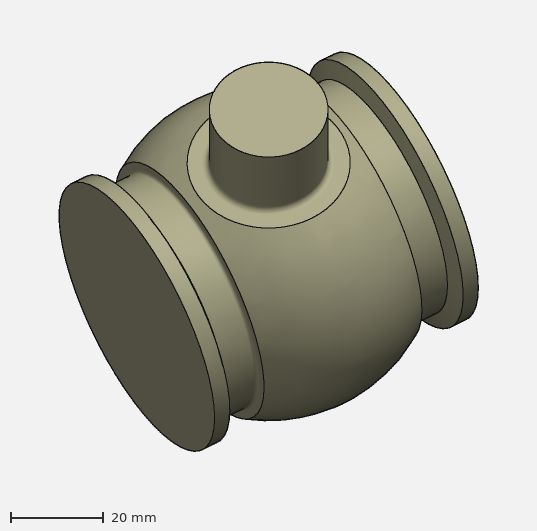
import cadquery as cq

ball_diameter = 73.0
body_width = 40.0

overall_length = 66.8
flange_radius = 32.0
flange_rim_width = 3.9
flange_taper_width = 1.5
neck_radius = 28.0
neck_fillet = 0.8

overall_height = 87.7
stem_radius = 12.8
stem_fillet = 1.4

ball_radius = ball_diameter / 2
stem_flat_height = flange_radius
half_length = overall_length / 2
half_width = body_width / 2
stem_top = overall_height - ball_radius


def make_body():
    """Ball cut square at both necks and flat under the stem."""
    side = 2 * ball_radius
    envelope = cq.Workplane("XY").box(side, body_width, ball_radius + stem_flat_height)
    envelope = envelope.translate((0, 0, (stem_flat_height - ball_radius) / 2))
    return cq.Workplane("XY").sphere(ball_radius).intersect(envelope)


def make_necks():
    """Solid of revolution about Y holding both necks and their tapered flanges."""
    rim_start = half_length - flange_rim_width
    taper_start = rim_start - flange_taper_width
    root_radius = neck_radius + neck_fillet
    half_profile = (
        cq.Workplane("XY")
        .lineTo(root_radius, 0)
        .lineTo(root_radius, half_width)
        .radiusArc((neck_radius, half_width + neck_fillet), neck_fillet)
        .lineTo(neck_radius, taper_start)
        .lineTo(flange_radius, rim_start)
        .lineTo(flange_radius, half_length)
        .lineTo(0, half_length)
        .close()
    )
    neck = half_profile.revolve(360, (0, 0, 0), (0, 1, 0))
    return neck.union(neck.mirror("XZ"))


def make_stem():
    """Round stem filleted into the flat of the body."""
    fillet_top = stem_flat_height + stem_fillet
    foot_radius = stem_radius + stem_fillet
    profile = (
        cq.Workplane("XZ")
        .lineTo(foot_radius, 0)
        .lineTo(foot_radius, stem_flat_height)
        .radiusArc((stem_radius, fillet_top), stem_fillet)
        .lineTo(stem_radius, stem_top)
        .lineTo(0, stem_top)
        .close()
    )
    return profile.revolve(360, (0, 0, 0), (0, 1, 0))


result = make_body().union(make_necks()).union(make_stem())